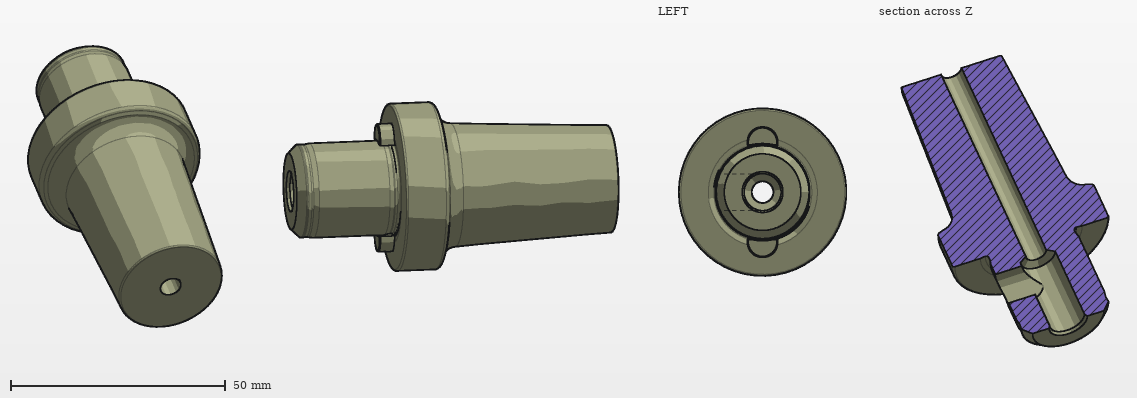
import cadquery as cq
import math


total_length = 75.5

end_chamfer_length = 2.05
end_chamfer_height = 2.0
pilot_edge_radius = 0.3
pilot_radius = 10.9
pilot_end = 2.4
waist_radius = 10.8
waist_start = 3.2
waist_end = 3.6
shank_radius = 11.0
shank_start = 4.9
shank_end = 21.6

undercut_radius = 10.7
undercut_start = 22.8
undercut_blend = 0.9
undercut_fillet = 0.7
undercut_outer_radius = 12.7
undercut_depth = 0.15

flange_face = 24.0
flange_diameter = 39.0
flange_radius = flange_diameter / 2
flange_front_fillet = 0.45
flange_back_start = 33.4
flange_back_fillet = 1.0
flange_back_slope = math.radians(8)

nose_start = 38.35
nose_start_radius = 14.4
nose_end_radius = 12.5
nose_end_fillet = 0.4
nose_fillet = 3.9

bore_radius = 4.3
bore_mouth_radius = 4.75
bore_mouth_depth = 0.75
bore_depth = 19.6
bore_tip_angle = math.radians(118)
coolant_radius = 2.5

side_hole_radius = 4.2
side_hole_x = 14.35

pin_radius = 3.55
pin_offset = 11.6
pin_protrusion = 3.5
pin_embedment = 3.5
pin_flat_height = 10.8
pin_chamfer = 0.2
pin_clearance = 0.1


def round_corner_point(center, radius, angle):
    """Point on a circle in the (X, radius) plane."""
    return (center[0] + radius * math.cos(angle), center[1] + radius * math.sin(angle))


def circles_at(x):
    """Selector for the circular edges that lie in the plane at x."""
    half_gap = 0.1
    return cq.selectors.BoxSelector(
        (x - half_gap, -flange_radius, -flange_radius),
        (x + half_gap, flange_radius, flange_radius),
        boundingbox=True,
    )


def turned_blank():
    """Solid of revolution: shank, undercut, flange and nose without holes."""
    undercut_bottom = flange_face + undercut_depth
    undercut_center = (undercut_bottom - undercut_fillet, undercut_radius + undercut_fillet)
    undercut_mid = round_corner_point(undercut_center, undercut_fillet, math.radians(-45))

    front_fillet_center = (flange_face + flange_front_fillet, flange_radius - flange_front_fillet)
    front_fillet_mid = round_corner_point(front_fillet_center, flange_front_fillet, math.radians(135))

    back_center = (flange_back_start, flange_radius - flange_back_fillet)
    back_mid = round_corner_point(back_center, flange_back_fillet, (math.pi / 2 + flange_back_slope) / 2)
    back_end = round_corner_point(back_center, flange_back_fillet, flange_back_slope)

    nose_taper = math.atan((nose_start_radius - nose_end_radius) / (total_length - nose_start))
    sweep_end_angle = -math.pi / 2 - nose_taper
    sweep_start_angle = -math.pi + flange_back_slope
    sweep_center = (
        nose_start - nose_fillet * math.cos(sweep_end_angle),
        nose_start_radius - nose_fillet * math.sin(sweep_end_angle),
    )
    sweep_start = round_corner_point(sweep_center, nose_fillet, sweep_start_angle)
    sweep_mid = round_corner_point(sweep_center, nose_fillet, (sweep_start_angle + sweep_end_angle) / 2)

    chamfer_radius = pilot_radius - end_chamfer_height
    profile = (
        cq.Workplane("XY")
        .moveTo(0, 0)
        .lineTo(0, chamfer_radius)
        .lineTo(end_chamfer_length, pilot_radius)
        .lineTo(pilot_end, pilot_radius)
        .lineTo(waist_start, waist_radius)
        .lineTo(waist_end, waist_radius)
        .lineTo(shank_start, shank_radius)
        .lineTo(shank_end, shank_radius)
        .lineTo(undercut_start, undercut_radius)
        .lineTo(undercut_center[0], undercut_radius)
        .threePointArc(undercut_mid, (undercut_bottom, undercut_center[1]))
        .lineTo(flange_face, undercut_outer_radius)
        .lineTo(flange_face, front_fillet_center[1])
        .threePointArc(front_fillet_mid, (front_fillet_center[0], flange_radius))
        .lineTo(flange_back_start, flange_radius)
        .threePointArc(back_mid, back_end)
        .lineTo(*sweep_start)
        .threePointArc(sweep_mid, (nose_start, nose_start_radius))
        .lineTo(total_length, nose_end_radius)
        .lineTo(total_length, 0)
        .close()
    )
    blank = profile.revolve(360, (0, 0, 0), (1, 0, 0))
    blank = blank.faces(">X").edges().fillet(nose_end_fillet)
    blank = blank.edges(circles_at(end_chamfer_length)).fillet(pilot_edge_radius)
    return blank.edges(circles_at(undercut_start)).fillet(undercut_blend)


def bore_cutter():
    """Chamfered bore with a drill-point bottom, opening into the coolant hole."""
    tip_length = (bore_radius - coolant_radius) / math.tan(bore_tip_angle / 2)
    return (
        cq.Workplane("XY")
        .moveTo(0, 0)
        .lineTo(0, bore_mouth_radius)
        .lineTo(bore_mouth_depth, bore_radius)
        .lineTo(bore_depth, bore_radius)
        .lineTo(bore_depth + tip_length, coolant_radius)
        .lineTo(total_length, coolant_radius)
        .lineTo(total_length, 0)
        .close()
        .revolve(360, (0, 0, 0), (1, 0, 0))
    )


def side_hole_cutter():
    """Cross hole from the bore axis out through the +Y side of the shank."""
    return (
        cq.Workplane("XZ")
        .center(side_hole_x, 0)
        .circle(side_hole_radius)
        .extrude(-flange_radius)
    )


def drive_pin(side):
    """Round pin with one flat, seated in the flange; side is +1 above or -1 below the axis."""
    tip = flange_face - pin_protrusion
    length = pin_protrusion + pin_embedment
    pin = (
        cq.Workplane("YZ", origin=(tip, 0, 0))
        .center(0, pin_offset)
        .circle(pin_radius)
        .extrude(length)
    )
    below_flat = (
        cq.Workplane("YZ", origin=(tip, 0, 0))
        .rect(2 * pin_radius, 2 * pin_flat_height)
        .extrude(length)
    )
    shank_clearance = (
        cq.Workplane("YZ", origin=(tip, 0, 0))
        .circle(shank_radius + pin_clearance)
        .extrude(length)
    )
    pin = pin.cut(below_flat).cut(shank_clearance)
    pin = pin.faces("<X").edges().chamfer(pin_chamfer)
    if side < 0:
        pin = pin.rotate((0, 0, 0), (1, 0, 0), 180)
    return pin


pins = [drive_pin(side) for side in (1, -1)]

holder = turned_blank().cut(bore_cutter()).cut(side_hole_cutter())
for pin in pins:
    holder = holder.cut(pin)

result = cq.Compound.makeCompound([holder.val(), *[pin.val() for pin in pins]])